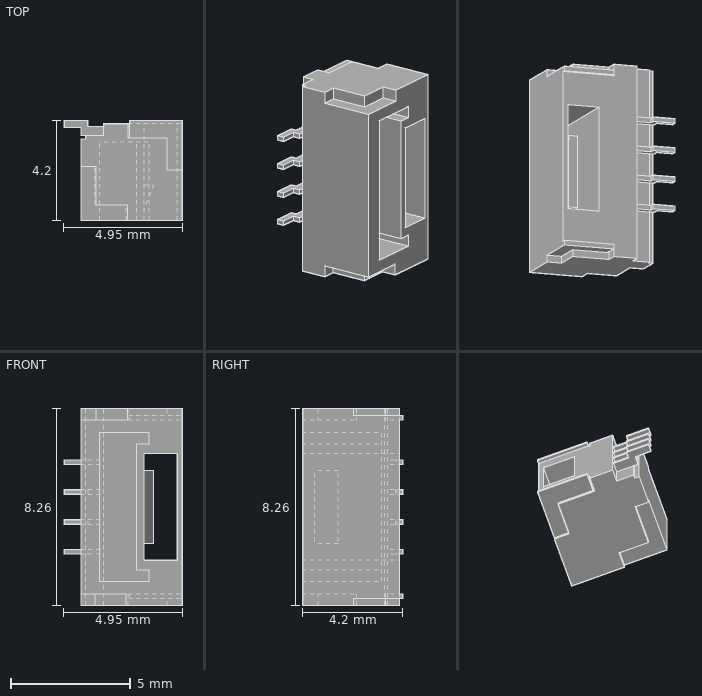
import cadquery as cq
import math


WIDTH = 4.25
DEPTH = 4.06
HEIGHT = 8.26

RELIEF_START = 3.42
RELIEF_WIDTH = 0.2
PIN_SEAT_START = 3.56
PIN_SEAT_WIDTH = 0.95

RECESS_DEPTH = 0.49
FRONT_RECESS_REACH = 2.26
FRONT_RECESS_Y_ARM = 0.65
TOP_RECESS_LENGTH = 1.95
TOP_RECESS_X_ARM = 0.63
BOTTOM_RECESS_LENGTH = 1.9
BOTTOM_RECESS_X_ARM = 0.6
REAR_RECESS_START_X = 1.98
REAR_RECESS_START_Y = 2.13
REAR_RECESS_INNER_X = 3.6
REAR_RECESS_INNER_Y = 3.47

SHEET_THICKNESS = 0.2
TAB_SIDE_GAP = 0.06
TAB_START_X = REAR_RECESS_START_X + TAB_SIDE_GAP
REAR_PLANE = 4.2

POCKET_START_X = 0.78
POCKET_END_X = 2.85
POCKET_HEIGHT = 6.24
POCKET_DEPTH = 3.3
TONGUE_START_X = 2.33
TONGUE_HEIGHT = 5.26

WINDOW_START_X = 2.65
WINDOW_END_X = 4.03
WINDOW_HEIGHT = 4.46
LATCH_RISE = 0.4
LATCH_HEIGHT = 3.07
LATCH_START_Y = 0.5
LATCH_SLOPE = 22.0

PIN_COUNT = 4
PIN_PITCH = 1.25
FOOT_REACH = 0.7
FOOT_END_X = 0.29
FOOT_THICKNESS = 0.31
PIN_SHANK_END_Y = 3.95


def block(x_range, y_range, z_range):
    """Box between the given limits on each axis."""
    size = [end - start for start, end in (x_range, y_range, z_range)]
    corner = (x_range[0], y_range[0], z_range[0])
    return cq.Workplane("XY").box(*size, centered=False).translate(corner)


def centred_range(length):
    """Limits of a length placed evenly about zero."""
    return (-length / 2, length / 2)


def prism(points, z_range):
    """Closed XY outline extruded between two heights."""
    outline = cq.Workplane("XY").workplane(offset=z_range[0]).polyline(points).close()
    return outline.extrude(z_range[1] - z_range[0])


def make_housing_block():
    outline = [
        (0, 0),
        (WIDTH, 0),
        (WIDTH, DEPTH),
        (PIN_SEAT_WIDTH, DEPTH),
        (PIN_SEAT_WIDTH, PIN_SEAT_START),
        (RELIEF_WIDTH, PIN_SEAT_START),
        (RELIEF_WIDTH, RELIEF_START),
        (0, RELIEF_START),
    ]
    return prism(outline, centred_range(HEIGHT))


def make_front_recess(length, x_arm, z_range):
    outline = [
        (0, 0),
        (length, 0),
        (length, FRONT_RECESS_Y_ARM),
        (x_arm, FRONT_RECESS_Y_ARM),
        (x_arm, FRONT_RECESS_REACH),
        (0, FRONT_RECESS_REACH),
    ]
    return prism(outline, z_range)


def make_rear_corner(start_x, rear_y, z_range):
    """L shape around the rear corner, used for both the recess and its tab."""
    outline = [
        (WIDTH, REAR_RECESS_START_Y),
        (WIDTH, rear_y),
        (start_x, rear_y),
        (start_x, REAR_RECESS_INNER_Y),
        (REAR_RECESS_INNER_X, REAR_RECESS_INNER_Y),
        (REAR_RECESS_INNER_X, REAR_RECESS_START_Y),
    ]
    return prism(outline, z_range)


def make_pocket():
    pocket = block(
        (POCKET_START_X, POCKET_END_X), (0, POCKET_DEPTH), centred_range(POCKET_HEIGHT)
    )
    tongue = block(
        (TONGUE_START_X, POCKET_END_X), (0, POCKET_DEPTH), centred_range(TONGUE_HEIGHT)
    )
    return pocket.cut(tongue)


def make_window():
    return block((WINDOW_START_X, WINDOW_END_X), (0, DEPTH), centred_range(WINDOW_HEIGHT))


def make_latch():
    slope_length = LATCH_RISE / math.tan(math.radians(LATCH_SLOPE))
    latch_end_y = LATCH_START_Y + slope_length
    outline = [
        (WINDOW_START_X, LATCH_START_Y),
        (WINDOW_START_X + LATCH_RISE, latch_end_y),
        (WINDOW_START_X, latch_end_y),
    ]
    return prism(outline, centred_range(LATCH_HEIGHT))


def make_pin(centre_z):
    outline = [
        (PIN_SEAT_WIDTH, PIN_SEAT_START),
        (PIN_SEAT_WIDTH, PIN_SHANK_END_Y),
        (FOOT_END_X, PIN_SHANK_END_Y),
        (FOOT_END_X, REAR_PLANE),
        (-FOOT_REACH, REAR_PLANE),
        (-FOOT_REACH, REAR_PLANE - FOOT_THICKNESS),
        (0, REAR_PLANE - FOOT_THICKNESS),
        (0, PIN_SEAT_START),
    ]
    z_range = (centre_z - SHEET_THICKNESS / 2, centre_z + SHEET_THICKNESS / 2)
    return prism(outline, z_range)


def make_part():
    floor_z = HEIGHT / 2 - RECESS_DEPTH
    top_recess = (floor_z, HEIGHT / 2)
    bottom_recess = (-HEIGHT / 2, -floor_z)
    top_tab = (floor_z, floor_z + SHEET_THICKNESS)
    bottom_tab = (-floor_z - SHEET_THICKNESS, -floor_z)

    part = make_housing_block().cut(make_pocket()).cut(make_window()).union(make_latch())
    part = part.cut(make_front_recess(TOP_RECESS_LENGTH, TOP_RECESS_X_ARM, top_recess))
    part = part.cut(make_front_recess(BOTTOM_RECESS_LENGTH, BOTTOM_RECESS_X_ARM, bottom_recess))

    for recess, tab in ((top_recess, top_tab), (bottom_recess, bottom_tab)):
        part = part.cut(make_rear_corner(REAR_RECESS_START_X, DEPTH, recess))
        part = part.union(make_rear_corner(TAB_START_X, REAR_PLANE, tab))

    for index in range(PIN_COUNT):
        centre_z = (index - (PIN_COUNT - 1) / 2) * PIN_PITCH
        part = part.union(make_pin(centre_z))
    return part


result = make_part()